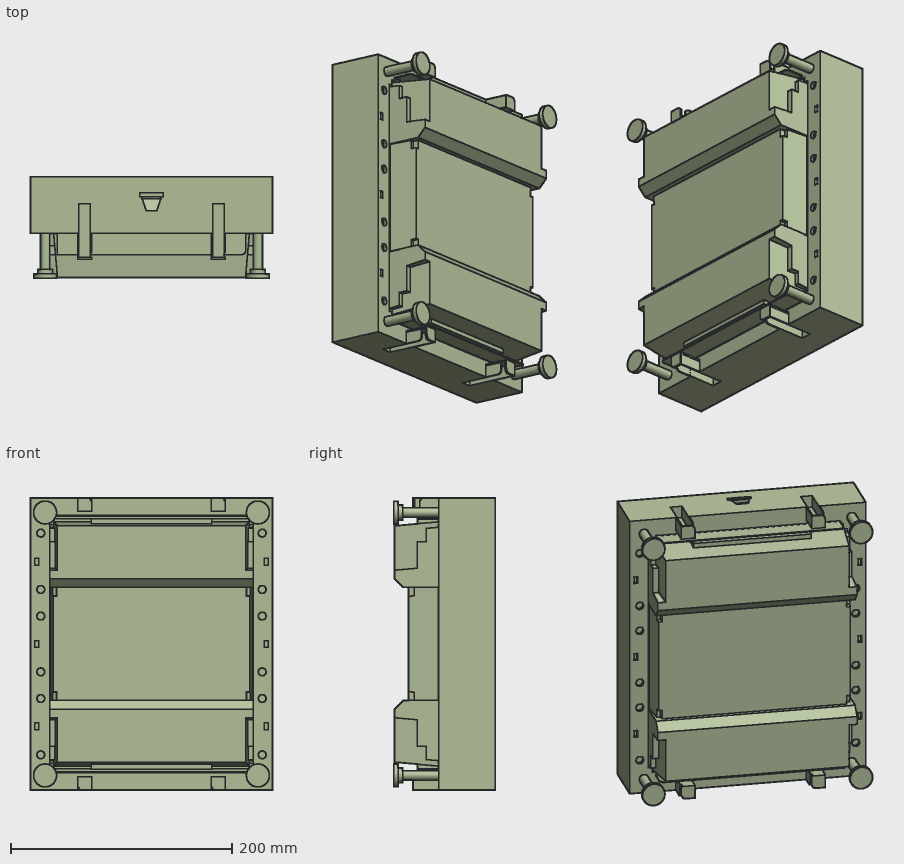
import cadquery as cq
import math


width = 218.85
height = 264.1
total_depth = 92.1
housing_depth = 51.4
draft_angle = 5
draft = math.tan(math.radians(draft_angle))

cover_depth = 40.0
cover_half_width = 85.0
cover_outer_z = 106.9
cover_inner_z = 51.1
cover_chamfer = 8.0
flange_half_width = 92.2
flange_low_depth = 11.0
flange_mid_depth = 19.2
flange_outer_z = 105.5
flange_mid_z = 92.3
flange_high_z = 68.5

pad_depth = 0.3
pad_half_width = 88.4
pad_outer_z = 113.0
pad_flange_z = 108.0

panel_depth = 27.3
panel_half_width = 88.8
notch_depth = 5.1
notch_height = 8.0
notch_half_width = 85.5

plate_depth = 19.2
plate_half_width = 85.3
plate_outer_z = 116.2
plate_thickness = 0.8
plate_corner_radius = 4.0
strip_length = 109.0
strip_outer_z = 113.1
strip_thickness = 4.2

latch_spacing = 120.8
latch_width = 12.6
latch_height = 12.2
latch_reach = 23.3
latch_end_wall = 1.7
latch_end_round = 4.0
latch_short_wall_reach = 17.1
latch_short_wall_round = 4.0
slot_width = 10.5
slot_depth = 11.0
slot_back_y = 26.7

hole_diameter = 7.0
hole_depth = 3.0
hole_x = 100.1
hole_heights = (25.2, 49.3, 100.2)
key_x = 103.8
key_width = 3.3
key_height = 6.2
key_depth = 3.0
key_spacing = 74.5

recess_bar_depth = 1.0
recess_ramp_depth = 4.0
recess_back_y = 36.9
recess_bar_width = 21.6
recess_bar_length = 3.6
recess_step_width = 17.4
recess_step_length = 1.8
recess_ramp_length = 11.0
recess_ramp_back_width = 17.0
recess_ramp_front_width = 9.6

screw_inset = 13.2
shank_diameter = 8.7
collar_diameter = 13.6
collar_thickness = 4.0
head_diameter = 20.8
head_thickness = 4.1


def block(x0, x1, y0, y1, z0, z1):
    """Box between two opposite corners."""
    return cq.Workplane("XY").box(x1 - x0, y1 - y0, z1 - z0, centered=False).translate((x0, y0, z0))


def side_profile(points, half_width):
    """Prism across the width from (Y, Z) points."""
    return cq.Workplane("YZ").polyline(points).close().extrude(half_width, both=True)


def turned(shape):
    """Copy turned half a turn about the Y axis, from the top of the part to the bottom."""
    return shape.rotate((0, 0, 0), (0, 1, 0), 180)


def side_draft(depth, front_half_width):
    """Tapered prism, as tall as the part, whose sides widen towards the rim face."""
    base_half_width = front_half_width + depth * draft
    outline = [
        (-base_half_width, 0),
        (base_half_width, 0),
        (front_half_width, -depth),
        (-front_half_width, -depth),
    ]
    return cq.Workplane("XY").polyline(outline).close().extrude(height / 2, both=True)


def make_pad():
    """Cross-shaped pad: wide beside the flanges and the panel, narrower at its two ends."""
    wide = block(-flange_half_width, flange_half_width, -pad_depth, 0, -pad_flange_z, pad_flange_z)
    tall = block(-pad_half_width, pad_half_width, -pad_depth, 0, -pad_outer_z, pad_outer_z)
    return wide.union(tall)


def make_cover():
    """Upper cover: a drafted body with a stepped flange on both sides."""
    chamfer_y = cover_chamfer - cover_depth
    chamfer_z = cover_inner_z + cover_chamfer
    body = side_profile(
        [
            (0, cover_inner_z),
            (chamfer_y, cover_inner_z),
            (-cover_depth, chamfer_z),
            (-cover_depth, cover_outer_z),
            (0, cover_outer_z + cover_depth * draft),
        ],
        flange_half_width,
    ).intersect(side_draft(cover_depth, cover_half_width))
    flange = side_profile(
        [
            (0, cover_inner_z),
            (chamfer_y, cover_inner_z),
            (-cover_depth, chamfer_z),
            (-cover_depth, flange_high_z - (cover_depth - flange_mid_depth) * draft),
            (-flange_mid_depth, flange_high_z),
            (-flange_mid_depth, flange_mid_z),
            (-flange_low_depth, flange_mid_z),
            (-flange_low_depth, flange_outer_z - flange_low_depth * draft),
            (0, flange_outer_z),
        ],
        flange_half_width,
    )
    return body.union(flange)


def make_panel():
    """Middle panel with a notch in each front corner, next to the covers."""
    slab = block(-width / 2, width / 2, -panel_depth, 0, -cover_inner_z, cover_inner_z)
    panel = slab.intersect(side_draft(panel_depth, panel_half_width))
    corners = [(x, z) for x in (-flange_half_width, flange_half_width) for z in (-cover_inner_z, cover_inner_z)]
    notches = (
        cq.Workplane("XZ", origin=(0, -panel_depth, 0))
        .pushPoints(corners)
        .rect(2 * (flange_half_width - notch_half_width), 2 * notch_height)
        .extrude(-notch_depth, taper=draft_angle)
    )
    return panel.cut(notches)


def make_plate():
    """Thin plate beyond the upper cover, rounded at its front right corner, with the strip under it."""
    plate = block(
        -plate_half_width, plate_half_width, -plate_depth, 0, plate_outer_z - plate_thickness, plate_outer_z
    )
    plate = plate.edges("|Z and >X and <Y").fillet(plate_corner_radius)
    strip = block(
        -strip_length / 2, strip_length / 2, -plate_depth, 0, strip_outer_z - strip_thickness, strip_outer_z
    )
    return plate.union(strip)


def make_latch_lug():
    """Lug of a top latch, centred on X = 0: a trough with a rounded end wall and a shortened right wall."""
    half_lug = latch_width / 2
    half_slot = slot_width / 2
    top = height / 2
    bottom = top - latch_height
    wall_y = latch_end_wall - latch_reach
    left_wall = block(-half_lug, -half_slot, wall_y, 0, bottom, top)
    floor = block(-half_slot, half_slot, wall_y, 0, bottom, top - slot_depth)
    right_wall = block(half_slot, half_lug, -latch_short_wall_reach, 0, bottom, top)
    right_wall = right_wall.edges("|X and <Y and >Z").fillet(latch_short_wall_round)
    end_wall = block(-half_lug, half_lug, -latch_reach, wall_y, bottom, top)
    end_wall = end_wall.edges("|Y and >X and >Z").fillet(latch_end_round)
    return left_wall.union(floor).union(right_wall).union(end_wall)


def make_latch_slot():
    """Part of a top latch's slot that runs back from the rim face into the housing."""
    return block(-slot_width / 2, slot_width / 2, 0, slot_back_y, height / 2 - slot_depth, height / 2)


def make_recess():
    """Finger recess: a flat bar at the back and a ramp that rises to the top face at its front."""
    top = height / 2
    bar_floor = top - recess_bar_depth
    floor = top - recess_ramp_depth
    step_y = recess_back_y - recess_bar_length
    ramp_y = step_y - recess_step_length
    front_y = ramp_y - recess_ramp_length
    half_bar = recess_bar_width / 2
    half_step = recess_step_width / 2
    bar = block(-half_bar, half_bar, step_y, recess_back_y, bar_floor, top)
    step = block(-half_step, half_step, ramp_y, step_y, floor, top)
    ramp = side_profile([(ramp_y, floor), (ramp_y, top), (front_y, top)], half_bar)
    ramp_outline = [
        (-recess_ramp_back_width / 2, ramp_y),
        (recess_ramp_back_width / 2, ramp_y),
        (recess_ramp_front_width / 2, front_y),
        (-recess_ramp_front_width / 2, front_y),
    ]
    ramp_plan = cq.Workplane("XY").polyline(ramp_outline).close().extrude(height)
    return bar.union(step).union(ramp.intersect(ramp_plan))


def make_housing():
    """Housing block with its covers, panel, plates and latches, and the holes cut into it."""
    housing = block(-width / 2, width / 2, 0, housing_depth, -height / 2, height / 2)
    housing = housing.union(make_pad()).union(make_panel())
    for part in (make_cover(), make_plate()):
        housing = housing.union(part).union(turned(part))
    for side in (-1, 1):
        place = (side * latch_spacing / 2, 0, 0)
        lug = make_latch_lug().translate(place)
        slot = make_latch_slot().translate(place)
        housing = housing.union(lug).union(turned(lug))
        housing = housing.cut(slot).cut(turned(slot))
    housing = housing.cut(make_recess())
    hole_places = [(x, z * end) for x in (-hole_x, hole_x) for z in hole_heights for end in (-1, 1)]
    holes = cq.Workplane("XZ").pushPoints(hole_places).circle(hole_diameter / 2).extrude(-hole_depth)
    key_places = [(x, z) for x in (-key_x, key_x) for z in (-key_spacing, 0, key_spacing)]
    keys = cq.Workplane("XZ").pushPoints(key_places).rect(key_width, key_height).extrude(-key_depth)
    return housing.cut(holes).cut(keys)


def make_screw():
    """Screw that stands on the rim face and points forward, with a collar behind its head."""
    reach = total_depth - housing_depth
    head_y = reach - head_thickness
    collar_y = head_y - collar_thickness
    shank = cq.Workplane("XZ").circle(shank_diameter / 2).extrude(collar_y)
    collar = cq.Workplane("XZ", origin=(0, -collar_y, 0)).circle(collar_diameter / 2).extrude(collar_thickness)
    head = cq.Workplane("XZ", origin=(0, -head_y, 0)).circle(head_diameter / 2).extrude(head_thickness)
    return shank.union(collar).union(head)


housing = make_housing()
screw = make_screw()
screw_x = width / 2 - screw_inset
screw_z = height / 2 - screw_inset
screws = [screw.translate((x, 0, z)) for x in (-screw_x, screw_x) for z in (-screw_z, screw_z)]

result = cq.Compound.makeCompound([housing.val(), *[one.val() for one in screws]])